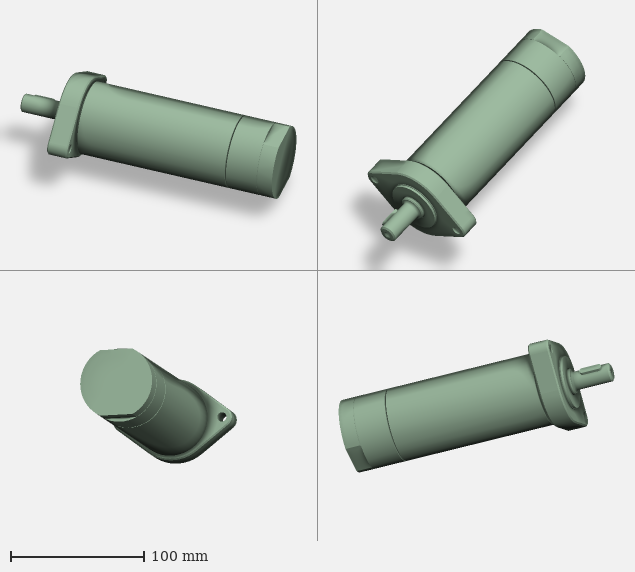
import cadquery as cq
import math

LENGTH = 207.3
SHAFT_SHOULDER_X = 28.5
PILOT_X = 32.3
PILOT_STEP_X = 34.2
FLANGE_X = 34.8
FLANGE_END_X = 50.8
BODY_X = 52.9
BODY_END_X = 169.8
REAR_BODY_X = 170.8
CAP_X = 195.0

SHAFT_D = 14.0
SHAFT_TIP_D = 11.5
SEAL_FRONT_D = 18.2
SEAL_D = 20.0
PILOT_BORE_D = 21.1
PILOT_D = 40.0
PILOT_STEP_D = 41.0
NECK_D = 48.0
BODY_D = 56

SHAFT_TIP_CHAMFER = 1.0
SHAFT_FILLET_R = 1.7
SEAL_CHAMFER = (SEAL_D - SEAL_FRONT_D) / 2
PILOT_BORE_DEPTH = 1.0
CENTRE_HOLE_D = 4.1
CENTRE_SINK_D = 5.5
CENTRE_HOLE_DEPTH = 4.1
DRILL_POINT_ANGLE = 120

FLANGE_D = 62.0
FLANGE_SPAN = 92.0
FLANGE_TIP_D = 15.0
FLANGE_CHAMFER = 1.0
BOLT_HOLE_D = 7.0
BOLT_SPACING = FLANGE_SPAN - FLANGE_TIP_D

KEY_X = 5.4
KEY_LENGTH = 17.5
KEY_WIDTH = 5.0
KEY_TOP_Y = 9.0
KEY_BOTTOM_Y = KEY_TOP_Y - KEY_WIDTH

CAP_FLATS = 50.0
CAP_GROOVE_D = 55.3
CAP_GROOVE_WIDTH = 0.6


def make_turned_body():
    """Revolve the half profile of everything that is round about the X axis."""
    shaft_r = SHAFT_D / 2
    body_r = BODY_D / 2
    fillet_end_x = SHAFT_SHOULDER_X + SHAFT_FILLET_R
    fillet_side = SHAFT_FILLET_R * math.sqrt(0.5)
    fillet_mid = (SHAFT_SHOULDER_X + fillet_side, shaft_r + SHAFT_FILLET_R - fillet_side)
    return (
        cq.Workplane("XY")
        .moveTo(0, 0)
        .lineTo(0, SHAFT_TIP_D / 2)
        .lineTo(SHAFT_TIP_CHAMFER, shaft_r)
        .lineTo(SHAFT_SHOULDER_X, shaft_r)
        .threePointArc(fillet_mid, (fillet_end_x, shaft_r + SHAFT_FILLET_R))
        .lineTo(fillet_end_x, SEAL_FRONT_D / 2)
        .lineTo(fillet_end_x + SEAL_CHAMFER, SEAL_D / 2)
        .lineTo(PILOT_X + PILOT_BORE_DEPTH, SEAL_D / 2)
        .lineTo(PILOT_X + PILOT_BORE_DEPTH, PILOT_BORE_D / 2)
        .lineTo(PILOT_X, PILOT_BORE_D / 2)
        .lineTo(PILOT_X, PILOT_D / 2)
        .lineTo(PILOT_STEP_X, PILOT_D / 2)
        .lineTo(PILOT_STEP_X, PILOT_STEP_D / 2)
        .lineTo(FLANGE_X, PILOT_STEP_D / 2)
        .lineTo(FLANGE_X, NECK_D / 2)
        .lineTo(BODY_X, NECK_D / 2)
        .lineTo(BODY_X, body_r)
        .lineTo(BODY_END_X, body_r)
        .lineTo(BODY_END_X, NECK_D / 2)
        .lineTo(REAR_BODY_X, NECK_D / 2)
        .lineTo(REAR_BODY_X, body_r)
        .lineTo(CAP_X, body_r)
        .lineTo(CAP_X, CAP_GROOVE_D / 2)
        .lineTo(CAP_X + CAP_GROOVE_WIDTH, CAP_GROOVE_D / 2)
        .lineTo(CAP_X + CAP_GROOVE_WIDTH, body_r)
        .lineTo(LENGTH, body_r)
        .lineTo(LENGTH, 0)
        .close()
        .revolve(360, (0, 0, 0), (1, 0, 0))
    )


def make_flange():
    """Diamond flange: a central circle joined by tangents to a small circle at each bolt hole."""
    main_r = FLANGE_D / 2
    tip_r = FLANGE_TIP_D / 2
    tip_y = BOLT_SPACING / 2
    cos_tangent = (main_r - tip_r) / tip_y
    sin_tangent = math.sqrt(1 - cos_tangent**2)
    main_y = main_r * cos_tangent
    main_z = main_r * sin_tangent
    end_y = tip_y + tip_r * cos_tangent
    end_z = tip_r * sin_tangent
    return (
        cq.Workplane("YZ", origin=(FLANGE_X, 0, 0))
        .moveTo(-main_y, main_z)
        .threePointArc((0, main_r), (main_y, main_z))
        .lineTo(end_y, end_z)
        .threePointArc((tip_y + tip_r, 0), (end_y, -end_z))
        .lineTo(main_y, -main_z)
        .threePointArc((0, -main_r), (-main_y, -main_z))
        .lineTo(-end_y, -end_z)
        .threePointArc((-tip_y - tip_r, 0), (-end_y, end_z))
        .close()
        .extrude(FLANGE_END_X - FLANGE_X)
        .faces("<X or >X")
        .chamfer(FLANGE_CHAMFER)
        .faces("<X")
        .workplane(origin=(0, 0, 0))
        .pushPoints([(-tip_y, 0), (tip_y, 0)])
        .hole(BOLT_HOLE_D)
    )


def make_key():
    """Round-ended parallel key standing on the +Y side of the shaft."""
    return (
        cq.Workplane("XZ", origin=(KEY_X + KEY_LENGTH / 2, KEY_TOP_Y, 0))
        .slot2D(KEY_LENGTH, KEY_WIDTH)
        .extrude(KEY_TOP_Y - KEY_BOTTOM_Y)
    )


def make_centre_hole():
    """Countersunk blind hole with a conical bottom in the end of the shaft."""
    radius = CENTRE_HOLE_D / 2
    sink_radius = CENTRE_SINK_D / 2
    point = radius / math.tan(math.radians(DRILL_POINT_ANGLE / 2))
    return (
        cq.Workplane("XY")
        .moveTo(0, 0)
        .lineTo(0, sink_radius)
        .lineTo(sink_radius - radius, radius)
        .lineTo(CENTRE_HOLE_DEPTH, radius)
        .lineTo(CENTRE_HOLE_DEPTH + point, 0)
        .close()
        .revolve(360, (0, 0, 0), (1, 0, 0))
    )


def make_cap_flats():
    """Material outside the two flats, above and below the end cap."""
    ring = cq.Workplane("YZ", origin=(CAP_X, 0, 0)).rect(2 * BODY_D, 2 * BODY_D)
    return ring.rect(2 * BODY_D, CAP_FLATS).extrude(LENGTH - CAP_X)


result = (
    make_turned_body()
    .union(make_flange())
    .union(make_key())
    .cut(make_centre_hole())
    .cut(make_cap_flats())
)